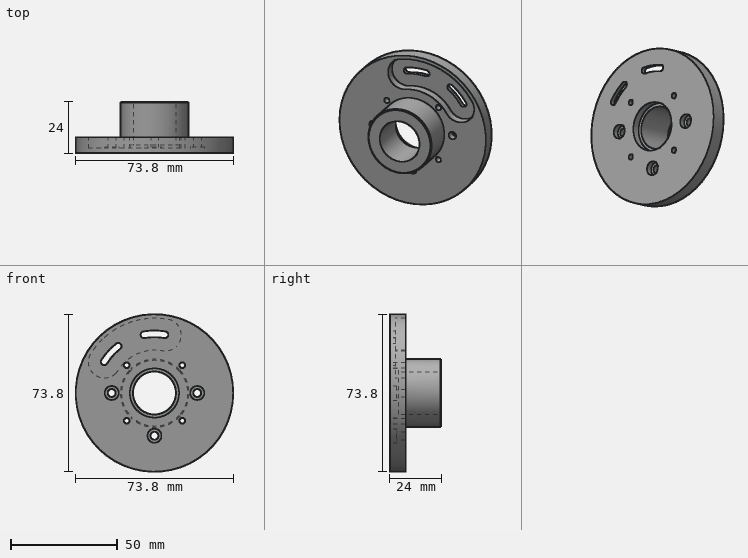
import cadquery as cq
import math

flange_diameter = 73.8
flange_thickness = 7.5
total_length = 24.0
hub_diameter = 31.95
hub_chamfer = 0.5

bore_diameter = 20.0
seat_diameter = 23.0
seat_depth = 4.0

screw_circle_radius = 20.0
screw_hole_diameter = 3.6
screw_head_diameter = 6.6
screw_head_depth = 3.0
screw_angles = (180, 270, 360)

small_hole_diameter = 2.6
small_hole_spacing = 26.0

slot_radius = 27.7
slot_width = 3.0
slot_half_angle = 10.2
slot_center_angles = (90, 138)

pocket_width = 15.0
pocket_floor = 2.5
pocket_center_angle = sum(slot_center_angles) / 2
pocket_half_angle = slot_half_angle + (slot_center_angles[1] - slot_center_angles[0]) / 2


def polar(radius, angle):
    """Point on the flange face at an angle given in degrees."""
    return (radius * math.cos(math.radians(angle)), radius * math.sin(math.radians(angle)))


def face_plane(depth=0.0):
    """Sketch plane at a depth behind the flange face, facing -Y."""
    return cq.Workplane("XZ", origin=(0, depth, 0))


def round_cut(points, diameter, depth):
    """Cylinders running from the flange face into the part."""
    return face_plane().pushPoints(points).circle(diameter / 2).extrude(-depth)


def curved_slot(center_angle, half_angle, width, start_depth):
    """Arc-shaped slot with round ends, from a depth to the back of the flange."""
    inner = slot_radius - width / 2
    outer = slot_radius + width / 2
    start = center_angle - half_angle
    end = center_angle + half_angle
    cap = math.degrees(width / 2 / slot_radius)
    return (
        face_plane(start_depth)
        .moveTo(*polar(outer, start))
        .threePointArc(polar(outer, center_angle), polar(outer, end))
        .threePointArc(polar(slot_radius, end + cap), polar(inner, end))
        .threePointArc(polar(inner, center_angle), polar(inner, start))
        .threePointArc(polar(slot_radius, start - cap), polar(outer, start))
        .close()
        .extrude(start_depth - flange_thickness)
    )


flange = face_plane().circle(flange_diameter / 2).extrude(-flange_thickness)
hub = (
    face_plane(flange_thickness)
    .circle(hub_diameter / 2)
    .extrude(flange_thickness - total_length)
    .faces(">Y")
    .chamfer(hub_chamfer)
)
result = flange.union(hub)

center = [(0, 0)]
result = result.cut(round_cut(center, bore_diameter, total_length))
result = result.cut(round_cut(center, seat_diameter, seat_depth))

screw_points = [polar(screw_circle_radius, angle) for angle in screw_angles]
result = result.cut(round_cut(screw_points, screw_hole_diameter, flange_thickness))
result = result.cut(round_cut(screw_points, screw_head_diameter, screw_head_depth))

half_spacing = small_hole_spacing / 2
small_points = [(x, z) for x in (-half_spacing, half_spacing) for z in (-half_spacing, half_spacing)]
result = result.cut(round_cut(small_points, small_hole_diameter, flange_thickness))

for slot_angle in slot_center_angles:
    result = result.cut(curved_slot(slot_angle, slot_half_angle, slot_width, 0))
result = result.cut(curved_slot(pocket_center_angle, pocket_half_angle, pocket_width, pocket_floor))